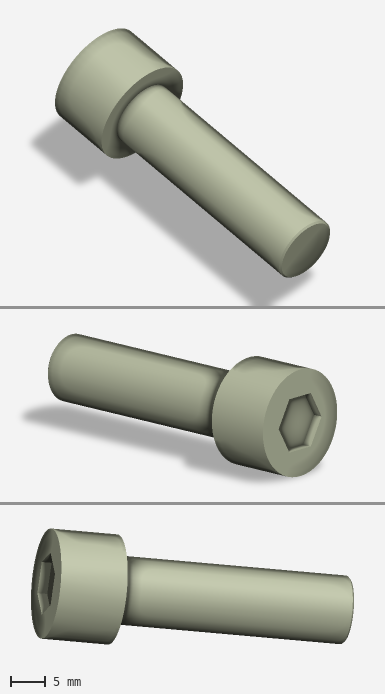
import cadquery as cq
import math

total_length = 45.0
head_diameter = 16.0
head_length = 10.0
shank_diameter = 10.0
tip_chamfer = 0.25
socket_across_flats = 8.0
socket_depth = 1.5

socket_across_corners = socket_across_flats / math.cos(math.radians(30))


def make_head():
    return cq.Workplane("YZ").circle(head_diameter / 2).extrude(head_length)


def make_shank():
    shank = (
        cq.Workplane("YZ", origin=(head_length, 0, 0))
        .circle(shank_diameter / 2)
        .extrude(total_length - head_length)
    )
    return shank.faces(">X").chamfer(tip_chamfer)


def make_hex_socket():
    return cq.Workplane("YZ").polygon(6, socket_across_corners).extrude(socket_depth)


result = make_head().union(make_shank()).cut(make_hex_socket())